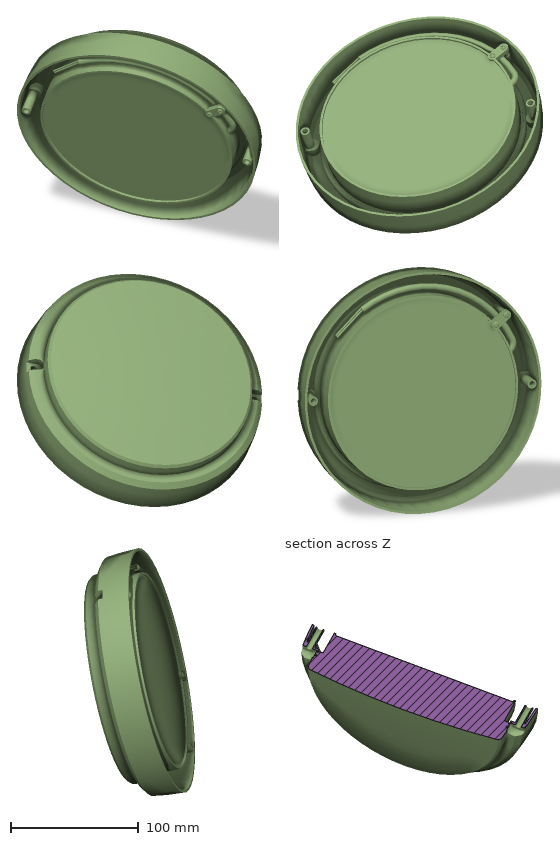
import cadquery as cq
import math


rim_radius = 97.5
rim_width = 2.0
shoulder_radius = 95.4
shoulder_y = 25.4
wall_bulge = 0.4
back_radius = 90.9
back_y = 28.9
floor_y = 26.3
inner_floor_radius = 89.9
inner_shoulder_radius = 93.0
inner_shoulder_y = 23.0

diffuser_base_radius = 84.2
diffuser_side_radius = 83.5
diffuser_side_y = 38.5
diffuser_edge_radius = 81.5
diffuser_edge_y = 40.5
dome_y = 45.2

drum_front_y = 0.2
drum_radius = 78.4
drum_foot_radius = 80.1
drum_foot_y = 21.3
drum_recess_radius = 76.6
drum_recess_depth = 1.8

seal_radius = 80.3
seal_thickness = 5.0
seal_y = 24.0

boss_offset = 90.0
boss_radius = 3.7
boss_front_y = 0.8
screw_hole_radius = 2.3
pocket_offset = 88.1
pocket_radius = 4.58
pocket_floor_y = 21.6
pocket_wall = 1.0
pad_front_y = 19.3

cable_path_radius = 84.0
cable_radius = 2.5
cable_y = 7.5
cable_start_angle = 124.7
cable_end_angle = 25.5
cable_bend_radius = 7.8
cable_bend_angle = 65.0
cable_tail = 5.8

wire_radius = 0.8
wire_length = 29.2
wire_spacing = 1.8
wire_shift = 0.5
wire_angle = 224.5

clamp_angle = 40.0
clamp_path_radius = cable_path_radius
clamp_screw_spacing = 11.1
clamp_width = 7.6
clamp_thickness = 3.9
post_radius = 3.0
post_front_y = 9.8
post_end_y = 27.3
sleeve_radius = 2.1
head_radius = 2.3
head_height = 1.2
head_chamfer = 0.5
cross_length = 3.1
cross_width = 0.8
cross_depth = 0.8


def revolve_about_y(profile):
    return profile.close().revolve(360, (0, 0, 0), (0, 1, 0))


def polar(radius, angle):
    """X and Z of a point at the given radius and angle about the Y axis."""
    return radius * math.cos(math.radians(angle)), radius * math.sin(math.radians(angle))


def plane_at(y):
    """Plane facing +Y whose local x and y run along -X and +Z."""
    return cq.Plane(origin=(0, y, 0), xDir=(-1, 0, 0), normal=(0, 1, 0))


def cylinder(x, z, radius, y_start, y_end):
    return cq.Workplane(plane_at(y_start)).center(-x, z).circle(radius).extrude(y_end - y_start)


def make_outer_solid():
    """Housing and diffuser, filled in."""
    bulge_point = ((rim_radius + shoulder_radius) / 2 + wall_bulge, shoulder_y / 2)
    dome_rise = dome_y - diffuser_edge_y
    sphere_radius = (diffuser_edge_radius**2 + dome_rise**2) / (2 * dome_rise)
    mid_radius = diffuser_edge_radius / 2
    mid_y = dome_y - sphere_radius + math.sqrt(sphere_radius**2 - mid_radius**2)
    return revolve_about_y(
        cq.Workplane("XY")
        .lineTo(rim_radius, 0)
        .threePointArc(bulge_point, (shoulder_radius, shoulder_y))
        .lineTo(back_radius, back_y)
        .lineTo(diffuser_base_radius, back_y)
        .lineTo(diffuser_side_radius, diffuser_side_y)
        .lineTo(diffuser_edge_radius, diffuser_edge_y)
        .threePointArc((mid_radius, mid_y), (0, dome_y))
    )


def make_cavity():
    """Open space inside the skirt, before the drum is put back."""
    inner_rim_radius = rim_radius - rim_width
    bulge_point = ((inner_rim_radius + inner_shoulder_radius) / 2 + wall_bulge, inner_shoulder_y / 2)
    return revolve_about_y(
        cq.Workplane("XY")
        .lineTo(inner_rim_radius, 0)
        .threePointArc(bulge_point, (inner_shoulder_radius, inner_shoulder_y))
        .lineTo(inner_floor_radius, floor_y)
        .lineTo(0, floor_y)
    )


def make_drum():
    recess_y = drum_front_y + drum_recess_depth
    return revolve_about_y(
        cq.Workplane("XY")
        .moveTo(0, recess_y)
        .lineTo(drum_recess_radius, recess_y)
        .lineTo(drum_recess_radius, drum_front_y)
        .lineTo(drum_radius, drum_front_y)
        .lineTo(drum_radius, drum_foot_y)
        .lineTo(drum_foot_radius, drum_foot_y)
        .lineTo(drum_foot_radius, back_y)
        .lineTo(0, back_y)
    )


def make_seal():
    return (
        cq.Workplane("XY")
        .center(seal_radius, seal_y)
        .circle(seal_thickness / 2)
        .revolve(360, (-seal_radius, 0, 0), (-seal_radius, 1, 0))
    )


def round_ended_bar(side, radius, y_start, y_end):
    """Bar with a round inner end that runs outward past the skirt."""
    length = rim_radius - pocket_offset
    bar = (
        cq.Workplane("XY")
        .box(length, y_end - y_start, 2 * radius)
        .translate((side * (pocket_offset + length / 2), (y_start + y_end) / 2, 0))
    )
    return bar.union(cylinder(side * pocket_offset, 0, radius, y_start, y_end))


def add_mounting_bosses(body, envelope):
    for side in (-1, 1):
        x = side * boss_offset
        pad = round_ended_bar(side, pocket_radius + pocket_wall, pad_front_y, back_y)
        body = body.union(pad.intersect(envelope))
        body = body.union(cylinder(x, 0, boss_radius, boss_front_y, pocket_floor_y))
        body = body.cut(round_ended_bar(side, pocket_radius, pocket_floor_y, back_y))
        body = body.cut(cylinder(x, 0, screw_hole_radius, 0, back_y))
    return body


def make_cable():
    """Round cable along the skirt that turns inward and enters the drum."""
    middle_angle = (cable_start_angle + cable_end_angle) / 2
    start = polar(cable_path_radius, cable_start_angle)
    middle = polar(cable_path_radius, middle_angle)
    end = polar(cable_path_radius, cable_end_angle)

    heading = cable_end_angle - 90
    bend_x, bend_z = polar(cable_bend_radius, heading - 90)
    bend_centre = (end[0] + bend_x, end[1] + bend_z)

    def bend_point(turn):
        x, z = polar(cable_bend_radius, heading + 90 - turn)
        return bend_centre[0] + x, bend_centre[1] + z

    bend_end = bend_point(cable_bend_angle)
    tail_x, tail_z = polar(cable_tail, heading - cable_bend_angle)

    def at_depth(point):
        return cq.Vector(point[0], cable_y, point[1])

    path = cq.Wire.assembleEdges([
        cq.Edge.makeThreePointArc(at_depth(start), at_depth(middle), at_depth(end)),
        cq.Edge.makeThreePointArc(
            at_depth(end), at_depth(bend_point(cable_bend_angle / 2)), at_depth(bend_end)
        ),
        cq.Edge.makeLine(at_depth(bend_end), at_depth((bend_end[0] + tail_x, bend_end[1] + tail_z))),
    ])
    start_x, start_z = polar(1, cable_start_angle - 90)
    start_plane = cq.Plane(origin=at_depth(start), xDir=(0, 1, 0), normal=(start_x, 0, start_z))
    return cq.Workplane(start_plane).circle(cable_radius).sweep(cq.Workplane(path))


def make_wire(offset):
    """Straight bare wire starting at the cable end, offset radially from its axis."""
    x, z = polar(cable_path_radius + offset, cable_start_angle)
    direction_x, direction_z = polar(1, wire_angle)
    return cq.Workplane(cq.Solid.makeCylinder(
        wire_radius, wire_length, cq.Vector(x, cable_y, z), cq.Vector(direction_x, 0, direction_z)
    ))


def make_cross_recess(x, z):
    recess = cq.Workplane("XY").box(cross_length, cross_depth, cross_width)
    recess = recess.union(cq.Workplane("XY").box(cross_width, cross_depth, cross_length))
    return recess.translate((x, cross_depth / 2 - head_height, z))


def add_clamp(body):
    """Bridge plate over the cable, held by two screws in posts on the floor."""
    centre_x, centre_z = polar(clamp_path_radius, clamp_angle)
    plate = (
        cq.Workplane("XZ")
        .slot2D(clamp_screw_spacing + clamp_width, clamp_width)
        .extrude(-clamp_thickness)
        .rotate((0, 0, 0), (0, 1, 0), -clamp_angle)
        .translate((centre_x, 0, centre_z))
    )
    body = body.union(plate)
    for side in (-1, 1):
        x, z = polar(clamp_path_radius + side * clamp_screw_spacing / 2, clamp_angle)
        head = cylinder(x, z, head_radius, -head_height, 0).faces("<Y").chamfer(head_chamfer)
        body = body.union(cylinder(x, z, post_radius, post_front_y, post_end_y))
        body = body.union(cylinder(x, z, sleeve_radius, 0, post_front_y))
        body = body.union(head.cut(make_cross_recess(x, z)))
    return body


envelope = make_outer_solid()
lamp = envelope.cut(make_cavity()).union(make_drum()).union(make_seal())
lamp = add_mounting_bosses(lamp, envelope)
lamp = lamp.union(make_cable())
for wire_side in (-1, 1):
    lamp = lamp.union(make_wire(wire_shift + wire_side * wire_spacing / 2))
result = add_clamp(lamp)